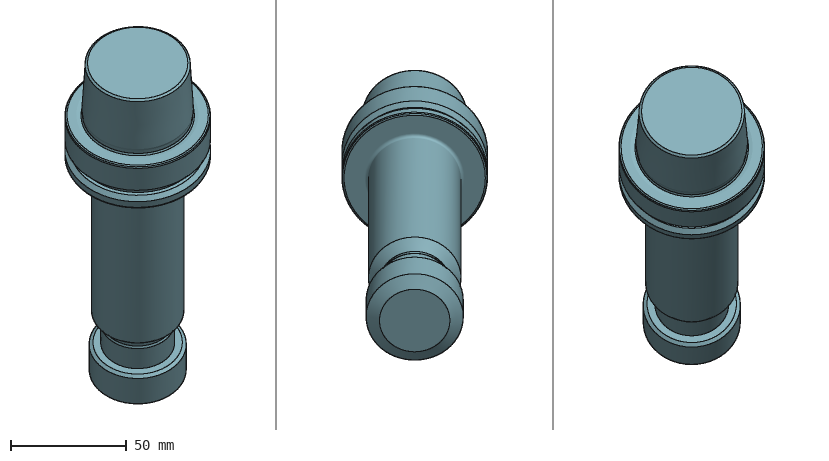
import cadquery as cq
import math


taper_height = 31.9
taper_gauge_radius = 24.0
taper_gauge_height = 6.3
taper_slope = 1 / 20
taper_bottom = 3.3
tip_chamfer_width = 1.1
tip_chamfer_height = 0.7
neck_radius = 23.9
neck_top = 2.1

flange_radius = 31.5
flange_bottom = -26.0
flange_edge_size = 1.0
flange_edge_inset = 0.3
face_recess_radius = 26.4
face_recess_depth = 0.3
neck_foot_radius = 24.5
neck_foot_top = 0.5

groove_centre_depth = 18.0
groove_width = 7.0
groove_ledge_radius = 29.3
groove_root_radius = 27.6
groove_flank_angle = 38.0

body_radius = 20.0
body_fillet = 1.5
body_bottom = -120.2
body_chamfer_height = 4.6

undercut_radius = 15.4
undercut_bottom = -126.7
stem_radius = 16.0
stem_top = -127.7

nut_radius = 21.0
nut_top = -140.0
nut_bottom = -160.0
nut_top_chamfer_width = 1.7
nut_top_chamfer_height = 1.0
nut_nose_radius = 15.2
nut_nose_angle = 30.0


def taper_radius(z):
    """Radius of the taper surface at height z."""
    return taper_gauge_radius + (taper_gauge_height - z) * taper_slope


def cone_height(outer_radius, inner_radius, angle):
    """Axial length of a cone between two radii, inclined from the radial direction."""
    return (outer_radius - inner_radius) * math.tan(math.radians(angle))




def add_taper_shank(outline):
    """Chamfered tip, taper and the slightly relieved neck below it."""
    tip_edge_z = taper_height - tip_chamfer_height
    tip_edge_radius = taper_radius(tip_edge_z)
    return (
        outline.lineTo(tip_edge_radius - tip_chamfer_width, taper_height)
        .lineTo(tip_edge_radius, tip_edge_z)
        .lineTo(taper_radius(taper_bottom), taper_bottom)
        .lineTo(neck_radius, neck_top)
        .lineTo(neck_radius, neck_foot_top)
        .lineTo(neck_foot_radius, -face_recess_depth)
    )


def add_flange_top(outline):
    """Conical face recess, seating face and bevelled upper edge."""
    return (
        outline.lineTo(face_recess_radius, 0)
        .lineTo(flange_radius - flange_edge_size, 0)
        .lineTo(flange_radius - flange_edge_inset, -flange_edge_inset)
        .lineTo(flange_radius, -flange_edge_size)
    )


def add_gripper_groove(outline):
    """Groove with sloping flanks, radial ledges and a cylindrical root."""
    top = -groove_centre_depth + groove_width / 2
    bottom = -groove_centre_depth - groove_width / 2
    flank_height = cone_height(flange_radius, groove_ledge_radius, groove_flank_angle)
    return (
        outline.lineTo(flange_radius, top)
        .lineTo(groove_ledge_radius, top - flank_height)
        .lineTo(groove_root_radius, top - flank_height)
        .lineTo(groove_root_radius, bottom + flank_height)
        .lineTo(groove_ledge_radius, bottom + flank_height)
        .lineTo(flange_radius, bottom)
    )


def add_flange_bottom(outline):
    """Bevelled lower edge of the flange."""
    return (
        outline.lineTo(flange_radius, flange_bottom + flange_edge_size)
        .lineTo(flange_radius - flange_edge_inset, flange_bottom + flange_edge_inset)
        .lineTo(flange_radius - flange_edge_size, flange_bottom)
    )


def add_body(outline):
    """Cylindrical body, filleted into the flange and chamfered at its lower end."""
    fillet_inset = body_fillet * (1 - math.sqrt(0.5))
    return (
        outline.lineTo(body_radius + body_fillet, flange_bottom)
        .threePointArc(
            (body_radius + fillet_inset, flange_bottom - fillet_inset),
            (body_radius, flange_bottom - body_fillet),
        )
        .lineTo(body_radius, body_bottom)
        .lineTo(undercut_radius, body_bottom - body_chamfer_height)
    )


def add_stem(outline):
    """Undercut below the body, opening out to the collet stem."""
    return (
        outline.lineTo(undercut_radius, undercut_bottom)
        .lineTo(stem_radius, stem_top)
        .lineTo(stem_radius, nut_top)
    )


def add_nut(outline):
    """Clamping nut with a chamfered top edge and a conical nose."""
    nose_height = cone_height(nut_radius, nut_nose_radius, nut_nose_angle)
    return (
        outline.lineTo(nut_radius - nut_top_chamfer_width, nut_top)
        .lineTo(nut_radius, nut_top - nut_top_chamfer_height)
        .lineTo(nut_radius, nut_bottom + nose_height)
        .lineTo(nut_nose_radius, nut_bottom)
        .lineTo(0, nut_bottom)
    )


outline = cq.Workplane("XZ").moveTo(0, taper_height)
outline = add_taper_shank(outline)
outline = add_flange_top(outline)
outline = add_gripper_groove(outline)
outline = add_flange_bottom(outline)
outline = add_body(outline)
outline = add_stem(outline)
outline = add_nut(outline)

result = outline.close().revolve(360, (0, 0, 0), (0, 1, 0))